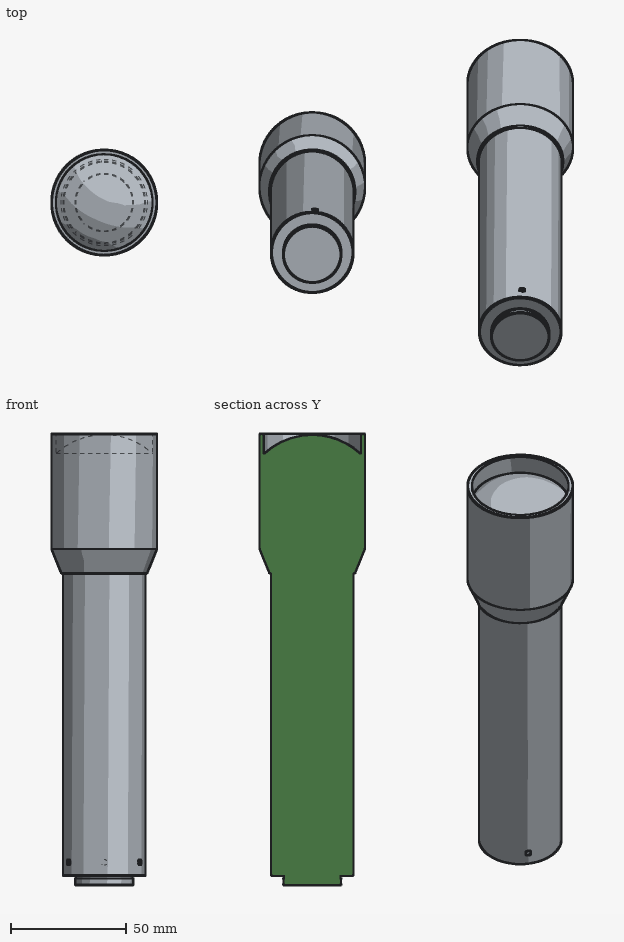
import cadquery as cq
import math

total_length = 196.08
head_diameter = 46.0
head_bore_diameter = 42.0
body_diameter = 36.0

mount_diameter = 25.4
mount_relief_diameter = 24.6
mount_length = 4.0
mount_relief_width = 1.0
mount_chamfer = 0.4

body_chamfer = 0.5
head_length = 50.0
head_rim_chamfer = 0.3
cone_length = 11.0
cone_end_diameter = 37.5
cone_lip_height = 0.6

lens_apex_depth = 0.4
lens_edge_depth = 8.6

screw_hole_diameter = 2.5
screw_hole_depth = 0.5
screw_hole_height = 6.0
screw_hole_angles = (-150.0, -30.0, 90.0)

flange_z = mount_length
head_bottom_z = total_length - head_length
cone_bottom_z = head_bottom_z - cone_length
lens_apex_z = total_length - lens_apex_depth
screw_hole_z = flange_z + screw_hole_height
lens_edge_z = total_length - lens_edge_depth

head_radius = head_diameter / 2
bore_radius = head_bore_diameter / 2
body_radius = body_diameter / 2
mount_radius = mount_diameter / 2
relief_radius = mount_relief_diameter / 2
cone_end_radius = cone_end_diameter / 2
lens_sag = lens_apex_z - lens_edge_z
lens_radius = (bore_radius**2 + lens_sag**2) / (2 * lens_sag)


def make_turned_body():
    """Revolve the half section, given as (radius, height) points."""
    lens_middle_radius = bore_radius / 2
    lens_middle_drop = lens_radius - math.sqrt(lens_radius**2 - lens_middle_radius**2)
    section = (
        cq.Workplane("XZ")
        .moveTo(0, 0)
        .lineTo(mount_radius - mount_chamfer, 0)
        .lineTo(mount_radius, mount_chamfer)
        .lineTo(mount_radius, flange_z - mount_relief_width)
        .lineTo(relief_radius, flange_z - mount_relief_width)
        .lineTo(relief_radius, flange_z)
        .lineTo(body_radius - body_chamfer, flange_z)
        .lineTo(body_radius, flange_z + body_chamfer)
        .lineTo(body_radius, cone_bottom_z)
        .lineTo(cone_end_radius, cone_bottom_z + cone_lip_height)
        .lineTo(head_radius, head_bottom_z)
        .lineTo(head_radius, total_length - head_rim_chamfer)
        .lineTo(head_radius - head_rim_chamfer, total_length)
        .lineTo(bore_radius, total_length)
        .lineTo(bore_radius, lens_edge_z)
        .threePointArc((lens_middle_radius, lens_apex_z - lens_middle_drop), (0, lens_apex_z))
        .close()
    )
    return section.revolve(360, (0, 0, 0), (0, 1, 0))


def make_screw_hole(angle):
    """Solid for a shallow radial hole, running from its floor out past the body surface."""
    turn = math.radians(angle)
    direction = cq.Vector(math.cos(turn), math.sin(turn), 0)
    floor_radius = body_radius - screw_hole_depth
    floor_center = direction * floor_radius + cq.Vector(0, 0, screw_hole_z)
    return cq.Workplane(
        cq.Solid.makeCylinder(screw_hole_diameter / 2, head_radius - floor_radius, floor_center, direction)
    )


result = make_turned_body()
for hole_angle in screw_hole_angles:
    result = result.cut(make_screw_hole(hole_angle))